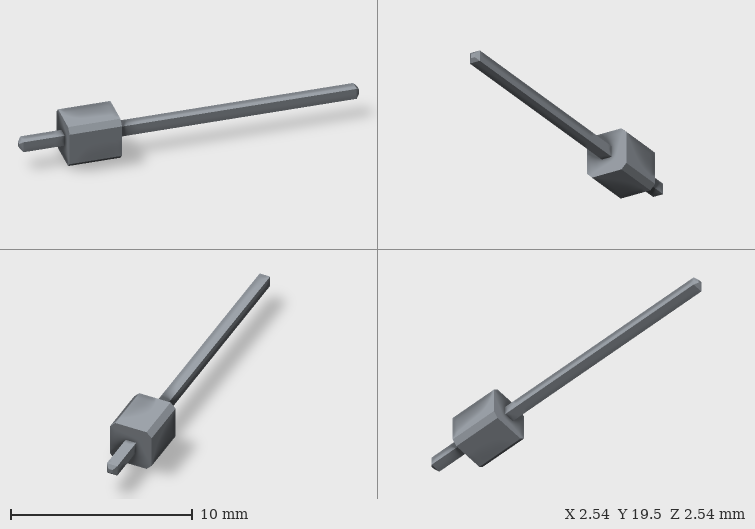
import cadquery as cq

pin_length = 19.5
housing_width = 2.54
housing_length = 3.0
housing_corner_chamfer = 0.31
front_pin_length = 2.55

pin_width = 0.65
tip_length = 0.2
tip_inset = tip_length

pin_front = -pin_length / 2
housing_front = pin_front + front_pin_length


def make_housing():
    """Square block with its four lengthwise edges chamfered."""
    block = cq.Workplane("XY").box(
        housing_width, housing_length, housing_width, centered=(True, False, True)
    )
    return block.edges("|Y").chamfer(housing_corner_chamfer).translate((0, housing_front, 0))


def make_tip():
    """Blunt square taper, pointing along +Y from its base at Y = 0."""
    end_width = pin_width - 2 * tip_inset
    return (
        cq.Workplane("XZ")
        .rect(pin_width, pin_width)
        .workplane(offset=-tip_length)
        .rect(end_width, end_width)
        .loft(ruled=True)
    )


def make_pin():
    """Square pin with a blunt four-sided taper at each end."""
    shank_length = pin_length - 2 * tip_length
    shank = cq.Workplane("XY").box(pin_width, shank_length, pin_width)
    rear_tip = make_tip().translate((0, shank_length / 2, 0))
    front_tip = rear_tip.mirror("XZ")
    return shank.union(rear_tip).union(front_tip)


result = make_housing().union(make_pin())